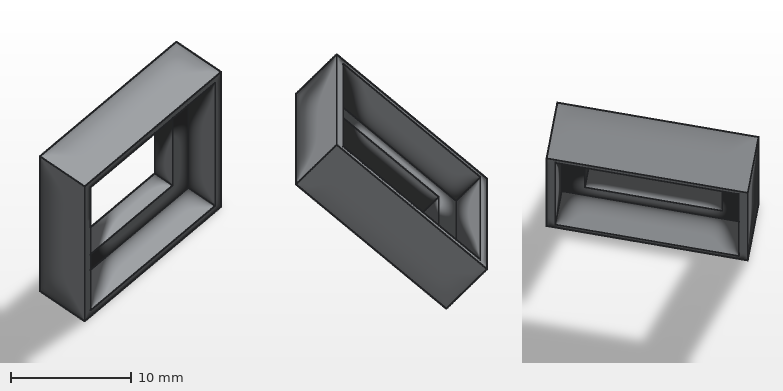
import cadquery as cq

outer_side = 17.0
thickness = 5.0
opening_side = 11.6
lip_depth = 2.0
recess_side = 15.5
recess_depth = thickness - lip_depth


def square_block(side, depth, start_x):
    """Square block centred on the X axis, running toward +X from start_x."""
    return cq.Workplane("YZ").workplane(offset=start_x).rect(side, side).extrude(depth)


front_x = -thickness / 2
frame = square_block(outer_side, thickness, front_x)
opening = square_block(opening_side, thickness, front_x)
recess = square_block(recess_side, recess_depth, front_x + lip_depth)

result = frame.cut(opening).cut(recess)